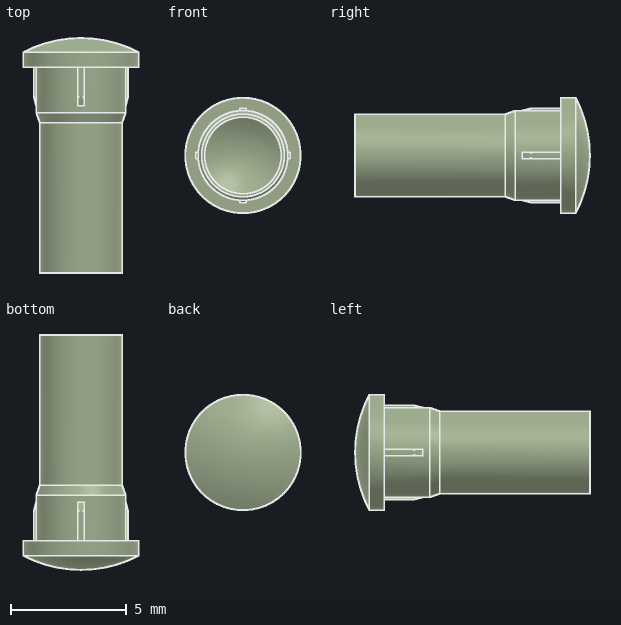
import cadquery as cq

length = 10.16

head_radius = 2.5
dome_height = 0.62
rim_thickness = 0.65

tube_radius = 1.79
collar_radius = 1.94
collar_length = 1.96
cone_length = 0.43

recess_radius = 1.66
recess_depth = 0.5

ridge_count = 4
ridge_radius = 2.04
ridge_width = 0.29
ridge_edge_fillet = 0.06
ridge_flat_length = 1.26
ridge_ramp_length = 0.41
ridge_end_radius = collar_radius
ridge_root_radius = 1.73

rim_top = length - dome_height
rim_bottom = rim_top - rim_thickness
collar_bottom = rim_bottom - collar_length
cone_bottom = collar_bottom - cone_length


def cap_sphere_radius(edge_radius, height):
    """Radius of the sphere whose cap has the given edge radius and height."""
    return (edge_radius**2 + height**2) / (2 * height)


def arc_middle(edge_radius, height):
    """Radius and height above the cap edge of a point halfway out on the cap."""
    sphere_radius = cap_sphere_radius(edge_radius, height)
    middle_radius = edge_radius / 2
    drop = sphere_radius - (sphere_radius**2 - middle_radius**2) ** 0.5
    return middle_radius, height - drop


def make_body():
    """Revolve the half section about the Y axis."""
    dome_mid_radius, dome_mid_height = arc_middle(head_radius, dome_height)
    recess_mid = arc_middle(recess_radius, recess_depth)
    return (
        cq.Workplane("XY")
        .moveTo(0, recess_depth)
        .threePointArc(recess_mid, (recess_radius, 0))
        .lineTo(tube_radius, 0)
        .lineTo(tube_radius, cone_bottom)
        .lineTo(collar_radius, collar_bottom)
        .lineTo(collar_radius, rim_bottom)
        .lineTo(head_radius, rim_bottom)
        .lineTo(head_radius, rim_top)
        .threePointArc((dome_mid_radius, rim_top + dome_mid_height), (0, length))
        .close()
        .revolve(360, (0, 0, 0), (0, 1, 0))
    )


def make_ridge():
    """Ridge on the +X side, with rounded long edges and a ramp at its lower end."""
    flat_end = rim_bottom - ridge_flat_length
    ramp_end = flat_end - ridge_ramp_length
    bar = (
        cq.Workplane("XY")
        .box(
            ridge_radius - ridge_root_radius,
            rim_bottom - ramp_end,
            ridge_width,
            centered=(False, False, True),
        )
        .translate((ridge_root_radius, ramp_end, 0))
        .edges("|Y and >X")
        .fillet(ridge_edge_fillet)
    )
    side_profile = (
        cq.Workplane("XY")
        .moveTo(ridge_root_radius, rim_bottom)
        .lineTo(ridge_radius, rim_bottom)
        .lineTo(ridge_radius, flat_end)
        .lineTo(ridge_end_radius, ramp_end)
        .lineTo(ridge_root_radius, ramp_end)
        .close()
        .extrude(ridge_width / 2, both=True)
    )
    return bar.intersect(side_profile)


result = make_body()
ridge = make_ridge()
for index in range(ridge_count):
    angle = index * 360 / ridge_count
    result = result.union(ridge.rotate((0, 0, 0), (0, 1, 0), angle))